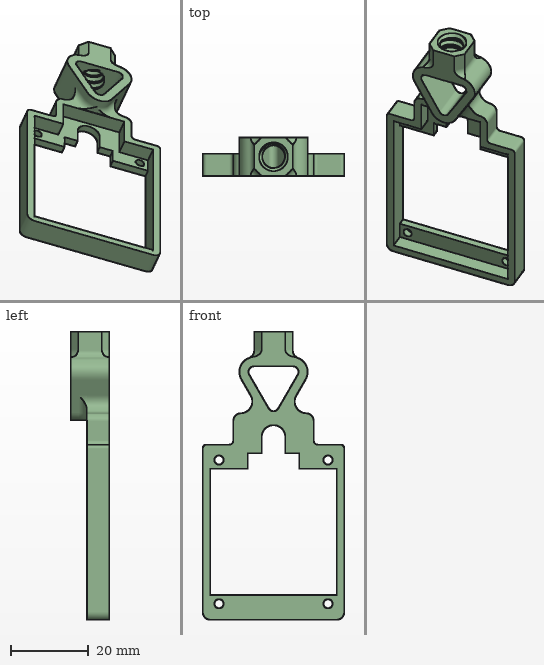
import cadquery as cq
import math

plate_thickness = 5.8
body_thickness = 10.0
total_height = 74.06

frame_width = 36.4
frame_height = 45.05
frame_top_radius = 1.0
frame_bottom_radius = 2.0
window_size = 32.4
window_bottom = 6.4
window_top = window_bottom + window_size
screw_hole_diameter = 2.3
screw_hole_x = 14.0
screw_hole_gap = 2.25

lip_thickness = 2.0
wall_thickness = (frame_width - window_size) / 2

notch_width = 13.2
notch_height = 4.0
slot_width = 6.0
slot_center_z = 47.0

shoulder_width = 20.7
shoulder_top = 53.1
shoulder_radius = 2.0
shoulder_base_radius = 1.0
neck_radius = 3.0

triangle_side = 10.0
triangle_top = 63.7
triangle_height = triangle_side * math.sqrt(3) / 2
loop_hole_radius = 1.4
loop_outer_radius = 3.8
loop_bottom = triangle_top - triangle_height - loop_outer_radius
back_fillet_radius = 2.0

post_width = 10.0
post_chamfer = 2.0
post_fillet_radius = 2.0

thread_minor_diameter = 5.8
thread_major_diameter = 7.4
thread_pitch = 2.5
thread_root_width = 0.5
thread_mouth_width = 2.2
groove_overlap = 0.15

tolerance = 0.01


def flank_x(z):
    """Half width of the loop's straight, 60 degree outer flank at height z."""
    apex_z = triangle_top - triangle_height - 2 * loop_outer_radius
    return (z - apex_z) / math.sqrt(3)


def edges_along_y(solid, x, z):
    """Edges parallel to Y at (+x, z) and (-x, z)."""
    return solid.edges("|Y").filter(
        lambda edge: abs(abs(edge.Center().x) - x) < tolerance and abs(edge.Center().z - z) < tolerance
    )


def box(width, thickness, bottom, top):
    """Box centred on x = 0 with its front on y = 0."""
    return (
        cq.Workplane("XY", origin=(0, 0, bottom))
        .rect(width, thickness)
        .extrude(top - bottom)
        .translate((0, thickness / 2, 0))
    )


def rounded_triangle(radius, thickness):
    """Triangular prism, front on y = 0, with corners of the given radius."""
    half_side = triangle_side / 2
    return (
        cq.Workplane("XZ")
        .moveTo(-half_side, triangle_top)
        .lineTo(half_side, triangle_top)
        .lineTo(0, triangle_top - triangle_height)
        .close()
        .offset2D(radius, "arc")
        .extrude(-thickness)
    )


def make_plate(thickness):
    """Plate outline without openings: frame, shoulder and the blend up to the loop's flanks."""
    half_frame = frame_width / 2
    half_shoulder = shoulder_width / 2
    flank_foot = flank_x(shoulder_top)
    flank_end_z = triangle_top - loop_outer_radius
    right_side = [
        (half_frame, 0),
        (half_frame, frame_height),
        (half_shoulder, frame_height),
        (half_shoulder, shoulder_top),
        (flank_foot, shoulder_top),
        (flank_x(flank_end_z), flank_end_z),
    ]
    left_side = [(-x, z) for x, z in reversed(right_side)]
    plate = cq.Workplane("XZ").polyline(right_side + left_side).close().extrude(-thickness)
    corner_radii = [
        (half_frame, 0, frame_bottom_radius),
        (half_frame, frame_height, frame_top_radius),
        (half_shoulder, frame_height, shoulder_base_radius),
        (half_shoulder, shoulder_top, shoulder_radius),
        (flank_foot, shoulder_top, neck_radius),
    ]
    for x, z, radius in corner_radii:
        plate = edges_along_y(plate, x, z).fillet(radius)
    return plate


def make_back_fillet():
    """Concave fillet between the loop and the plate's back, ending level with the loop's tip."""
    flange_radius = loop_outer_radius + 2 * back_fillet_radius
    flange = rounded_triangle(flange_radius, plate_thickness)
    stepped = flange.union(rounded_triangle(loop_outer_radius, body_thickness))
    loop_box = rounded_triangle(loop_outer_radius + tolerance, body_thickness).val().BoundingBox()
    foot_edges = stepped.edges().filter(
        lambda edge: abs(edge.Center().y - plate_thickness) < tolerance
        and loop_box.isInside(edge.BoundingBox())
    )
    fillet = foot_edges.fillet(back_fillet_radius)
    fillet_top = plate_thickness + back_fillet_radius
    above_tip = box(frame_width, fillet_top, loop_bottom, total_height)
    return fillet.intersect(make_plate(fillet_top)).intersect(above_tip)


def make_loop_with_post():
    """Loop blank and octagonal post, with a fillet where the post meets the loop.

    This is the overlap of two blanks: the front outline at full thickness, and a hexagonal
    post on a flat base. The post's slanted sides run past the front and back of the part,
    so the overlap with the full thickness leaves an octagon.
    """
    half_post = post_width / 2
    loop_top = triangle_top + loop_outer_radius
    outline = rounded_triangle(loop_outer_radius, body_thickness).union(
        box(post_width, body_thickness, triangle_top, total_height)
    )
    outline = edges_along_y(outline, half_post, loop_top).fillet(post_fillet_radius)

    post_side = body_thickness / 2 - post_chamfer
    post_tip = post_side + half_post
    right_side = [(0, -post_tip), (half_post, -post_side), (half_post, post_side)]
    left_side = [(-x, -y) for x, y in right_side]
    base_depth = 2 * post_tip + 4 * post_fillet_radius
    hexagon = (
        cq.Workplane("XY")
        .rect(frame_width, base_depth)
        .extrude(loop_top)
        .faces(">Z")
        .workplane()
        .polyline(right_side + left_side)
        .close()
        .extrude(total_height - loop_top)
    )
    foot_edges = hexagon.edges().filter(
        lambda edge: abs(edge.Center().z - loop_top) < tolerance
        and abs(edge.Center().x) < half_post + tolerance
        and abs(edge.Center().y) < post_tip
    )
    rounded_hexagon = foot_edges.fillet(post_fillet_radius).translate((0, body_thickness / 2, 0))
    return outline.intersect(rounded_hexagon)


def make_front_openings():
    """Window, notch, arched slot and screw holes, all cut through the plate."""
    window = box(window_size, plate_thickness, window_bottom, window_top)
    notch = box(notch_width, plate_thickness, window_top, window_top + notch_height)
    slot = box(slot_width, plate_thickness, window_top, slot_center_z)
    arch = (
        cq.Workplane("XZ")
        .center(0, slot_center_z)
        .circle(slot_width / 2)
        .extrude(-plate_thickness)
    )
    screw_holes = (
        cq.Workplane("XZ")
        .center(0, (window_bottom + window_top) / 2)
        .rarray(2 * screw_hole_x, window_size + 2 * screw_hole_gap, 2, 2)
        .circle(screw_hole_diameter / 2)
        .extrude(-plate_thickness)
    )
    return window.union(notch).union(slot).union(arch).union(screw_holes)


def make_back_pocket():
    """Pocket open to the back, stepping in with the frame and the shoulder."""
    depth = plate_thickness - lip_thickness
    main = box(window_size, depth, wall_thickness, frame_height - wall_thickness)
    shoulder = box(shoulder_width - 2 * wall_thickness, depth, window_top, shoulder_top - wall_thickness)
    return main.union(shoulder).translate((0, lip_thickness, 0))


def make_threaded_bore():
    """Bore along Z from the loop hole to the post's top, with a thread groove and a lead-in cone."""
    minor_radius = thread_minor_diameter / 2
    major_radius = thread_major_diameter / 2
    length = total_height - triangle_top
    mouth_radius = minor_radius - groove_overlap
    helix = cq.Wire.makeHelix(thread_pitch, length + thread_pitch, minor_radius)
    groove = (
        cq.Workplane("XZ")
        .moveTo(mouth_radius, -thread_mouth_width / 2)
        .lineTo(major_radius, -thread_root_width / 2)
        .lineTo(major_radius, thread_root_width / 2)
        .lineTo(mouth_radius, thread_mouth_width / 2)
        .close()
        .sweep(cq.Workplane(obj=helix), isFrenet=True)
        .translate((0, 0, -thread_pitch / 2))
    )
    lead_in = (
        cq.Workplane("XY", origin=(0, 0, length))
        .circle(major_radius)
        .workplane(offset=minor_radius - major_radius)
        .circle(minor_radius)
        .loft()
    )
    bore = cq.Workplane("XY").circle(minor_radius).extrude(length)
    return [cutter.translate((0, body_thickness / 2, triangle_top)) for cutter in (groove, lead_in, bore)]


body = make_plate(plate_thickness).union(make_loop_with_post()).union(make_back_fillet())
body = body.cut(rounded_triangle(loop_hole_radius, body_thickness))
body = body.cut(make_front_openings()).cut(make_back_pocket())
for cutter in make_threaded_bore():
    body = body.cut(cutter)

result = body.clean()